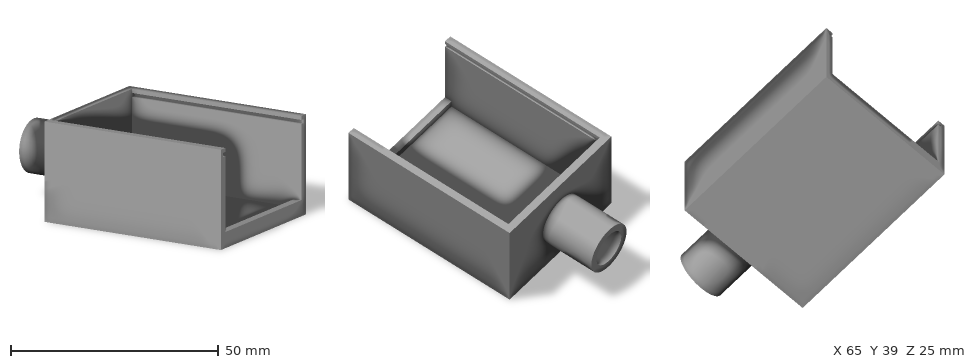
import cadquery as cq

total_length = 65.0
body_width = 39.0
body_height = 25.0
spout_length = 15.0
body_length = total_length - spout_length

wall = 2.0
sill_height = 2 * wall

groove_size = wall / 2
groove_top = body_height - wall / 2

spout_diameter = 13.5
bore_diameter = 9.5

inner_width = body_width - 2 * wall


def block(x_start, x_end, width, z_start, z_end):
    """Block centred on Y between the given X and Z limits."""
    return (
        cq.Workplane("XY", origin=(x_start, 0, z_start))
        .rect(x_end - x_start, width, centered=(False, True))
        .extrude(z_end - z_start)
    )


def make_box():
    """Box open at the top, with only a low sill at the +X end."""
    outer = block(0, body_length, body_width, 0, body_height)
    cavity = block(wall, body_length - wall, inner_width, wall, body_height)
    end_opening = block(wall, body_length, inner_width, sill_height, body_height)
    return outer.cut(cavity).cut(end_opening)


def make_lid_groove():
    """Slot for a sliding lid, cut into both side walls and open at the +X end."""
    return block(
        wall,
        body_length,
        inner_width + 2 * groove_size,
        groove_top - groove_size,
        groove_top,
    )


def make_spout():
    """Tube whose bore stops at the closed end wall of the box."""
    return (
        cq.Workplane("YZ", origin=(0, 0, body_height / 2))
        .circle(spout_diameter / 2)
        .circle(bore_diameter / 2)
        .extrude(-spout_length)
    )


result = make_box().cut(make_lid_groove()).union(make_spout())